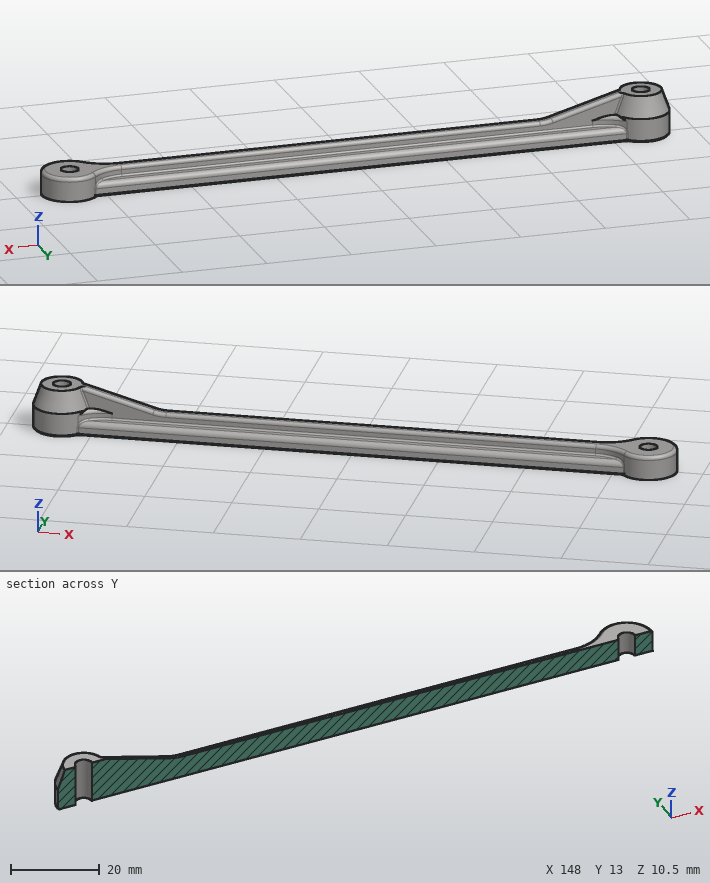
import cadquery as cq
import math

length = 148.0
eye_diameter = 13.0
hole_diameter = 4.0
bar_height = 5.6
boss_height = 10.5
boss_top_diameter = 9.5

flange_width = 9.2
flange_height = 3.3
flange_round = 1.3
rib_width = 3.0
rib_round = 0.9
root_fillet = 0.5
bottom_chamfer = 0.5

selection_margin = 0.01

neck_length = 11.8

ramp_foot_from_eye = 22.8
ramp_slope = 0.28
ramp_blend_radius = 10.4

eye_radius = eye_diameter / 2
eye_x = length / 2 - eye_radius
half_rib = rib_width / 2
bar_span = 2 * eye_x


def make_flange():
    """Wide base of the bar with rounded upper and chamfered lower edges, between the eye centres."""
    flange = cq.Workplane("XY").box(bar_span, flange_width, flange_height, centered=(True, True, False))
    flange = flange.edges("|X and >Z").fillet(flange_round)
    return flange.edges("|X and <Z").chamfer(bottom_chamfer)


def make_rib_with_eyes():
    """Rib that flares tangentially into a round eye at each end, with a rounded top edge."""
    neck_radius = (neck_length**2 + half_rib**2 - eye_radius**2) / (2 * (eye_radius - half_rib))
    neck_x = eye_x - neck_length
    neck_centre_y = half_rib + neck_radius
    share = eye_radius / (eye_radius + neck_radius)
    touch_x = eye_x - neck_length * share
    touch_y = neck_centre_y * share
    half_sweep = math.atan2(neck_length, neck_centre_y) / 2
    mid_x = neck_x + neck_radius * math.sin(half_sweep)
    mid_y = neck_centre_y - neck_radius * math.cos(half_sweep)

    outline = (
        cq.Workplane("XY")
        .moveTo(-neck_x, -half_rib)
        .lineTo(neck_x, -half_rib)
        .threePointArc((mid_x, -mid_y), (touch_x, -touch_y))
        .threePointArc((length / 2, 0), (touch_x, touch_y))
        .threePointArc((mid_x, mid_y), (neck_x, half_rib))
        .lineTo(-neck_x, half_rib)
        .threePointArc((-mid_x, mid_y), (-touch_x, touch_y))
        .threePointArc((-length / 2, 0), (-touch_x, -touch_y))
        .threePointArc((-mid_x, -mid_y), (-neck_x, -half_rib))
        .close()
    )
    return outline.extrude(bar_height).faces(">Z").edges().fillet(rib_round)


def make_bar():
    """Flange and rib joined, with small fillets in the inner corners between them and the eyes."""
    bar = make_flange().union(make_rib_with_eyes())
    half_flange = flange_width / 2
    inner_corners = cq.selectors.BoxSelector(
        (-eye_x, -half_flange - selection_margin, bottom_chamfer),
        (eye_x, half_flange + selection_margin, flange_height + root_fillet),
    )

    def is_flange_side(edge):
        middle = edge.positionAt(0.5)
        return abs(middle.x) < neck_length and abs(middle.y) > half_rib + root_fillet

    return bar.edges(inner_corners).filter(lambda edge: not is_flange_side(edge)).fillet(root_fillet)


def make_boss():
    """Raised eye: a cylinder with a chamfered foot, topped by a cone."""
    return (
        cq.Workplane("XZ", origin=(-eye_x, 0, 0))
        .polyline([
            (0, 0),
            (eye_radius - bottom_chamfer, 0),
            (eye_radius, bottom_chamfer),
            (eye_radius, bar_height),
            (boss_top_diameter / 2, boss_height),
            (0, boss_height),
        ])
        .close()
        .revolve(360, (0, 0, 0), (0, 1, 0))
    )


def make_ramp():
    """Gusset as wide as the rib, blended into the rib top and rounded along its upper edges."""
    foot_x = ramp_foot_from_eye - eye_x
    start_x = boss_top_diameter / 2 - eye_x - rib_round
    start_z = bar_height + (foot_x - start_x) * ramp_slope
    slope_angle = math.atan(ramp_slope)
    blend = ramp_blend_radius * math.tan(slope_angle / 2)
    end_x = foot_x + blend
    arc_middle = (
        foot_x + blend - ramp_blend_radius * math.sin(slope_angle / 2),
        bar_height + ramp_blend_radius * (1 - math.cos(slope_angle / 2)),
    )
    arc_start = (foot_x - blend * math.cos(slope_angle), bar_height + blend * math.sin(slope_angle))
    body = (
        cq.Workplane("XZ")
        .moveTo(start_x, 0)
        .lineTo(end_x, 0)
        .lineTo(end_x, bar_height)
        .threePointArc(arc_middle, arc_start)
        .lineTo(start_x, start_z)
        .close()
        .extrude(half_rib, both=True)
    )
    upper_edges = cq.selectors.BoxSelector(
        (start_x - rib_width, -rib_width, bar_height - rib_round),
        (end_x + rib_width, rib_width, 2 * boss_height),
    )
    long_edges = body.faces("<Y or >Y").edges(upper_edges).edges("not |Z")
    ramp = long_edges.fillet(rib_round)
    limit = cq.Workplane("XY").box(length, eye_diameter, boss_height, centered=(True, True, False))
    return ramp.intersect(limit)


boss_envelope = cq.Workplane("XY", origin=(-eye_x, 0, 0)).circle(eye_radius).extrude(bar_height)
bar = make_bar().cut(boss_envelope)
solid = bar.union(make_boss()).union(make_ramp())

gusset_corners = cq.selectors.BoxSelector(
    (-eye_x, -rib_width, bar_height + root_fillet),
    (boss_top_diameter / 2 - eye_x + rib_round, rib_width, boss_height - rib_round / 2),
)
solid = solid.edges(gusset_corners).edges("%HYPERBOLA").fillet(root_fillet)

holes = (
    cq.Workplane("XY")
    .pushPoints([(-eye_x, 0), (eye_x, 0)])
    .circle(hole_diameter / 2)
    .extrude(boss_height)
)
result = solid.cut(holes)